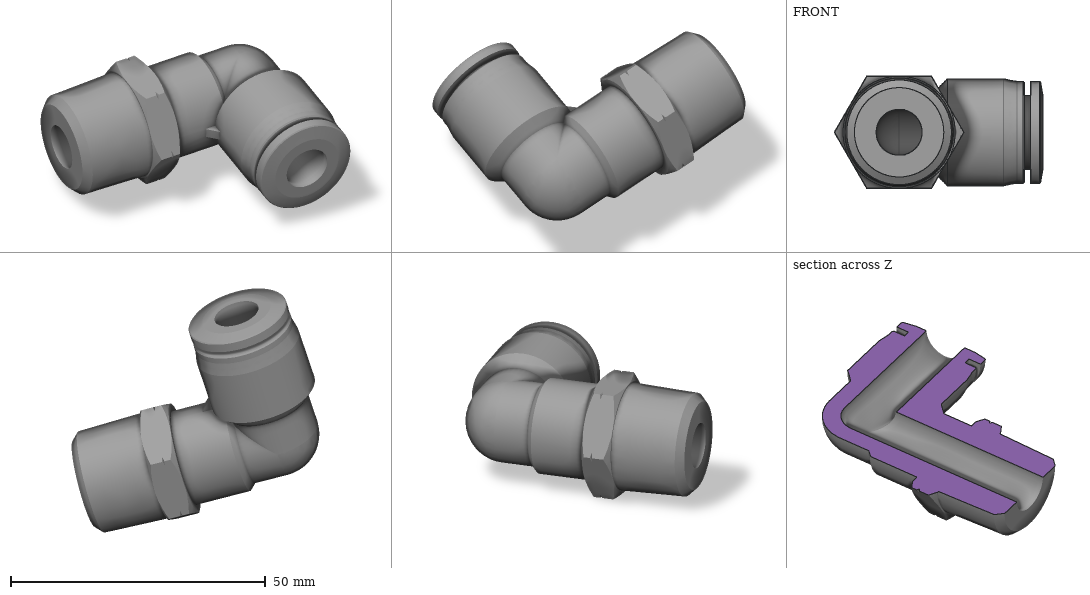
import cadquery as cq
import math


elbow_radius = 8.25
bore_radius = 4.5

shoulder_radius = 9.5
shoulder_start = 8.0
shoulder_bevel = shoulder_radius - elbow_radius
stem_length = 39.5
hex_sides = 6
hex_across_flats = 22.0
hex_start = 19.0
hex_height = 6.0
hex_end = hex_start + hex_height
hex_bevel_angle = 30.0
thread_taper = 1 / 16
thread_gauge_diameter = 20.955
thread_gauge_length = 8.2
thread_bevel = 1.5

nick_depth = 0.5
nick_width = 0.5
nick_offset = 2.5
nick_position = hex_start + nick_offset

body_radius = 10.5
body_start = 9.5
body_bevel = body_radius - elbow_radius
body_taper_start = 20.5
body_lip_start = 23.1
body_lip_radius = 10.0
body_end = 24.55
body_edge = 0.25
collar_neck_radius = 7.25
collar_radius = 10.0
collar_start = 25.8
collar_rim = 27.75
collar_edge = 0.2
collar_face_radius = 7.0
branch_length = 28.25

gusset_thickness = 2.0
gusset_leg = 2.0

hex_face_radius = hex_across_flats / 2
hex_corner_radius = hex_face_radius / math.cos(math.pi / hex_sides)


def revolve_about_stem(points):
    """Solid of revolution about Y from (radius, distance from the elbow centre)."""
    outline = [(radius, -distance) for radius, distance in points]
    return cq.Workplane("XY").polyline(outline).close().revolve(360, (0, 0), (0, 1))


def revolve_about_branch(points):
    """Solid of revolution about X from (distance from the elbow centre, radius)."""
    return cq.Workplane("XY").polyline(points).close().revolve(360, (0, 0), (1, 0))


def thread_radius(distance):
    """Radius of the tapered thread at a distance from the elbow centre."""
    gauge_position = stem_length - thread_gauge_length
    return (thread_gauge_diameter + (gauge_position - distance) * thread_taper) / 2


def make_stem():
    bevel_start = stem_length - thread_bevel
    bevel_radius = thread_radius(bevel_start)
    return revolve_about_stem([
        (0, 0),
        (elbow_radius, 0),
        (elbow_radius, shoulder_start - shoulder_bevel),
        (shoulder_radius, shoulder_start),
        (shoulder_radius, hex_end),
        (thread_radius(hex_end), hex_end),
        (bevel_radius, bevel_start),
        (bevel_radius - thread_bevel, stem_length),
        (0, stem_length),
    ])


def make_hexagon():
    """Hexagon with corners on the X axis, bevelled on both faces and nicked at its corners."""
    prism = (
        cq.Workplane("XZ", origin=(0, -hex_start, 0))
        .polygon(hex_sides, 2 * hex_corner_radius)
        .extrude(hex_height)
    )
    bevel_height = (hex_corner_radius - hex_face_radius) * math.tan(math.radians(hex_bevel_angle))
    envelope = revolve_about_stem([
        (0, hex_start),
        (hex_face_radius, hex_start),
        (hex_corner_radius, hex_start + bevel_height),
        (hex_corner_radius, nick_position - nick_width / 2),
        (hex_corner_radius - nick_depth, nick_position),
        (hex_corner_radius, nick_position + nick_width / 2),
        (hex_corner_radius, hex_end - bevel_height),
        (hex_face_radius, hex_end),
        (0, hex_end),
    ])
    return prism.intersect(envelope)


def make_branch():
    return revolve_about_branch([
        (0, 0),
        (0, elbow_radius),
        (body_start - body_bevel, elbow_radius),
        (body_start, body_radius),
        (body_taper_start, body_radius),
        (body_lip_start, body_lip_radius),
        (body_end - body_edge, body_lip_radius),
        (body_end, body_lip_radius - body_edge),
        (body_end, collar_neck_radius),
        (collar_start, collar_neck_radius),
        (collar_start, collar_radius),
        (collar_rim - collar_edge, collar_radius),
        (collar_rim, collar_radius - collar_edge),
        (branch_length, collar_face_radius),
        (branch_length, 0),
    ])


def make_gusset():
    """Thin triangular web with its sloping edge at 45 degrees."""
    return (
        cq.Workplane("XY")
        .polyline([
            (0, -body_radius - gusset_leg),
            (shoulder_radius, -body_radius - gusset_leg),
            (shoulder_radius + gusset_leg, -body_radius),
            (shoulder_radius + gusset_leg, 0),
            (0, 0),
        ])
        .close()
        .extrude(gusset_thickness / 2, both=True)
    )


def make_bore():
    """Passage through stem and branch, rounded where it turns."""
    stem_bore = cq.Workplane("XZ").circle(bore_radius).extrude(stem_length)
    branch_bore = cq.Workplane("YZ").circle(bore_radius).extrude(branch_length)
    turn = cq.Workplane("XY").sphere(bore_radius)
    return stem_bore.union(branch_bore).union(turn)


elbow = cq.Workplane("XY").sphere(elbow_radius)
outside = elbow.union(make_stem()).union(make_branch()).union(make_hexagon()).union(make_gusset())
result = outside.cut(make_bore())